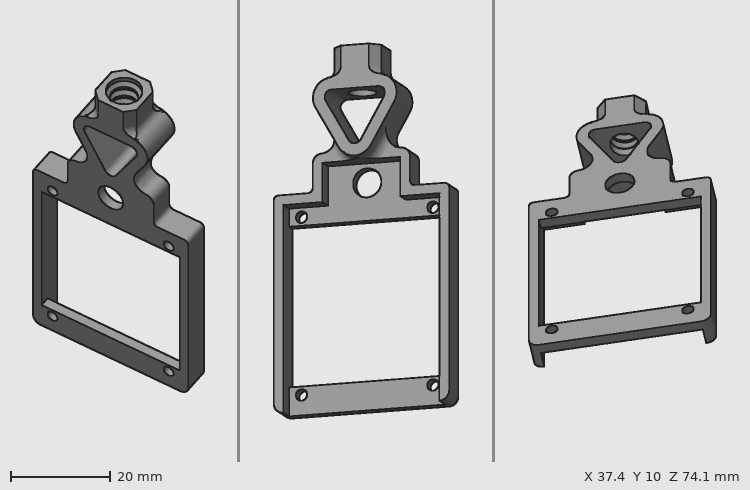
import cadquery as cq
import math

HEIGHT = 74.05
DEPTH = 10.0
PLATE_THICKNESS = 5.85

FRAME_WIDTH = 37.4
FRAME_TOP = 45.0
FRAME_TOP_RADIUS = 1.0
FRAME_BOTTOM_RADIUS = 2.0
WINDOW_SIZE = 33.25
WINDOW_BOTTOM = 6.0
SCREW_DIAMETER = 2.4
SCREW_SPACING_X = 28.0
SCREW_SPACING_Z = 36.8
SCREW_BOTTOM = 4.2

SHOULDER_WIDTH = 20.7
SHOULDER_TOP = 53.0
SHOULDER_RADIUS = 2.0
SHOULDER_ROOT_RADIUS = 1.0
CABLE_HOLE_DIAMETER = 6.0
CABLE_HOLE_Z = 47.1

TRIANGLE_SIDE = 9.85
TRIANGLE_TOP = 63.6
OPENING_RADIUS = 1.5
HEAD_WALL = 2.5
HEAD_RADIUS = OPENING_RADIUS + HEAD_WALL
TRIANGLE_BOTTOM = TRIANGLE_TOP - TRIANGLE_SIDE * math.sqrt(3) / 2
HEAD_SHOULDER_RADIUS = 2.95
HEAD_BACK_RADIUS = 2.0

WEB_THICKNESS = 2.2
RECESS_WALL = (FRAME_WIDTH - WINDOW_SIZE) / 2

NECK_WIDTH = DEPTH
NECK_CHAMFER = 2.0
NECK_ROOT_RADIUS = 2.0
BORE_RADIUS = 2.9
THREAD_ROOT_RADIUS = 3.7
MOUTH_DEPTH = 1.0
THREAD_FLANK = 0.8
THREAD_CREST = 0.6
THREAD_ROOT = 0.3
THREAD_GROOVES = 2

PICK_MARGIN = 0.4


def front_plane():
    """Sketch plane on the front face; extruding goes toward +Y with a negative distance."""
    return cq.Workplane("XZ")


def block(width, depth, bottom, top):
    """Box centred on x = 0 with its front on y = 0."""
    height = top - bottom
    return cq.Workplane("XY", origin=(0, depth / 2, bottom)).box(
        width, depth, height, centered=(True, True, False)
    )


def rounded_triangle(radius, depth):
    corners = [
        (-TRIANGLE_SIDE / 2, TRIANGLE_TOP),
        (TRIANGLE_SIDE / 2, TRIANGLE_TOP),
        (0, TRIANGLE_BOTTOM),
    ]
    return front_plane().polyline(corners).close().offset2D(radius).extrude(-depth)


def edges_at(body, x, z):
    """Front-to-back edges near the mirrored places (x, z) and (-x, z)."""
    picked = [
        cq.selectors.BoxSelector(
            (side_x - PICK_MARGIN, -PICK_MARGIN, z - PICK_MARGIN),
            (side_x + PICK_MARGIN, DEPTH + PICK_MARGIN, z + PICK_MARGIN),
        )
        for side_x in (x, -x)
    ]
    return body.edges("|Y").edges(picked[0] + picked[1])


def full_depth_outline():
    frame = block(FRAME_WIDTH, DEPTH, 0, FRAME_TOP)
    frame = frame.edges("|Y and <Z").fillet(FRAME_BOTTOM_RADIUS)
    frame = frame.edges("|Y and >Z").fillet(FRAME_TOP_RADIUS)
    shoulder = block(SHOULDER_WIDTH, DEPTH, WINDOW_BOTTOM + WINDOW_SIZE, SHOULDER_TOP)
    shoulder = shoulder.edges("|Y and >Z").fillet(SHOULDER_RADIUS)
    body = frame.union(shoulder)
    body = edges_at(body, SHOULDER_WIDTH / 2, FRAME_TOP).fillet(SHOULDER_ROOT_RADIUS)

    drop = TRIANGLE_TOP - SHOULDER_TOP
    head_side_x = TRIANGLE_SIDE / 2 + (HEAD_RADIUS - drop / 2) / math.cos(math.radians(30))
    body = body.union(rounded_triangle(HEAD_RADIUS, DEPTH))
    return edges_at(body, head_side_x, SHOULDER_TOP).fillet(HEAD_SHOULDER_RADIUS)


def stepped_depth():
    """Thin slab and thick head, blended where the head rises from the back of the slab."""
    slab = block(FRAME_WIDTH, PLATE_THICKNESS, 0, HEIGHT)
    body = slab.union(rounded_triangle(HEAD_RADIUS, DEPTH))
    foot = cq.selectors.BoxSelector(
        (-FRAME_WIDTH / 2 + PICK_MARGIN, PLATE_THICKNESS - PICK_MARGIN, PICK_MARGIN),
        (FRAME_WIDTH / 2 - PICK_MARGIN, PLATE_THICKNESS + PICK_MARGIN, HEIGHT - PICK_MARGIN),
    )
    return body.edges(foot).fillet(HEAD_BACK_RADIUS)


def flared_bar(half_width, arc_center, arc_end, length):
    """Bar along Y whose sides drop straight from the top and sweep outward through a concave arc."""
    center_x, center_z = arc_center
    end_x, end_z = arc_end
    middle_angle = (math.pi + math.atan2(end_z - center_z, end_x - center_x) % (2 * math.pi)) / 2
    middle_x = center_x + NECK_ROOT_RADIUS * math.cos(middle_angle)
    middle_z = center_z + NECK_ROOT_RADIUS * math.sin(middle_angle)
    return (
        front_plane()
        .moveTo(-half_width, HEIGHT)
        .lineTo(half_width, HEIGHT)
        .lineTo(half_width, center_z)
        .threePointArc((middle_x, middle_z), arc_end)
        .lineTo(end_x, TRIANGLE_TOP)
        .lineTo(-end_x, TRIANGLE_TOP)
        .lineTo(-end_x, end_z)
        .threePointArc((-middle_x, middle_z), (-half_width, center_z))
        .close()
        .extrude(length / 2, both=True)
        .translate((0, DEPTH / 2, 0))
    )


def add_neck(body):
    """Octagonal neck: side roots run onto the head's round corners, corner roots onto its flat top."""
    half_width = NECK_WIDTH / 2
    arc_x = half_width + NECK_ROOT_RADIUS
    corner_x = TRIANGLE_SIDE / 2
    reach = HEAD_RADIUS + NECK_ROOT_RADIUS
    rise = math.sqrt(reach**2 - (arc_x - corner_x) ** 2)
    share = HEAD_RADIUS / reach
    touch = (corner_x + share * (arc_x - corner_x), TRIANGLE_TOP + share * rise)
    neck = flared_bar(half_width, (arc_x, TRIANGLE_TOP + rise), touch, DEPTH)

    head_top = TRIANGLE_TOP + HEAD_RADIUS
    half_diagonal = (NECK_WIDTH - NECK_CHAMFER) / math.sqrt(2)
    diagonal_arc_x = half_diagonal + NECK_ROOT_RADIUS
    diagonal_bar = flared_bar(
        half_diagonal,
        (diagonal_arc_x, head_top + NECK_ROOT_RADIUS),
        (diagonal_arc_x, head_top),
        3 * NECK_WIDTH,
    )
    for angle in (45, -45):
        neck = neck.intersect(diagonal_bar.rotate((0, DEPTH / 2, 0), (0, DEPTH / 2, 1), angle))
    return body.union(neck)


def cut_openings(body):
    window = block(WINDOW_SIZE, PLATE_THICKNESS, WINDOW_BOTTOM, WINDOW_BOTTOM + WINDOW_SIZE)
    cable_hole = front_plane().center(0, CABLE_HOLE_Z).circle(CABLE_HOLE_DIAMETER / 2).extrude(-DEPTH)
    screw_holes = (
        front_plane()
        .center(0, SCREW_BOTTOM + SCREW_SPACING_Z / 2)
        .rect(SCREW_SPACING_X, SCREW_SPACING_Z, forConstruction=True)
        .vertices()
        .circle(SCREW_DIAMETER / 2)
        .extrude(-PLATE_THICKNESS)
    )
    opening = rounded_triangle(OPENING_RADIUS, DEPTH)
    return body.cut(window).cut(cable_hole).cut(screw_holes).cut(opening)


def cut_back_recess(body):
    """Recess open at the bottom, running up behind the cable hole to the lowest point of the head."""
    recess_depth = PLATE_THICKNESS - WEB_THICKNESS
    recess = block(WINDOW_SIZE, recess_depth, 0, FRAME_TOP - RECESS_WALL)
    shoulder_recess = block(
        SHOULDER_WIDTH - 2 * RECESS_WALL, DEPTH - WEB_THICKNESS, WINDOW_BOTTOM, TRIANGLE_BOTTOM - HEAD_RADIUS
    )
    return body.cut(recess.union(shoulder_recess).translate((0, WEB_THICKNESS, 0)))


def cut_bore(body):
    """Bore from the neck top into the triangular opening, with a wide mouth and thread-like ring grooves."""
    depth = MOUTH_DEPTH
    profile = cq.Workplane("XZ", origin=(0, DEPTH / 2, HEIGHT)).moveTo(0, 0).lineTo(THREAD_ROOT_RADIUS, 0)
    profile = profile.lineTo(THREAD_ROOT_RADIUS, -depth)
    for _ in range(THREAD_GROOVES):
        depth += THREAD_FLANK
        profile = profile.lineTo(BORE_RADIUS, -depth)
        depth += THREAD_CREST
        profile = profile.lineTo(BORE_RADIUS, -depth)
        depth += THREAD_FLANK
        profile = profile.lineTo(THREAD_ROOT_RADIUS, -depth)
        depth += THREAD_ROOT
        profile = profile.lineTo(THREAD_ROOT_RADIUS, -depth)
    depth += THREAD_FLANK
    profile = profile.lineTo(BORE_RADIUS, -depth)
    bore_end = TRIANGLE_TOP - HEIGHT
    profile = profile.lineTo(BORE_RADIUS, bore_end).lineTo(0, bore_end).close()
    return body.cut(profile.revolve(360, (0, 0, 0), (0, 1, 0)))


body = full_depth_outline().intersect(stepped_depth())
body = cut_back_recess(body)
body = add_neck(body)
body = cut_openings(body)
result = cut_bore(body)